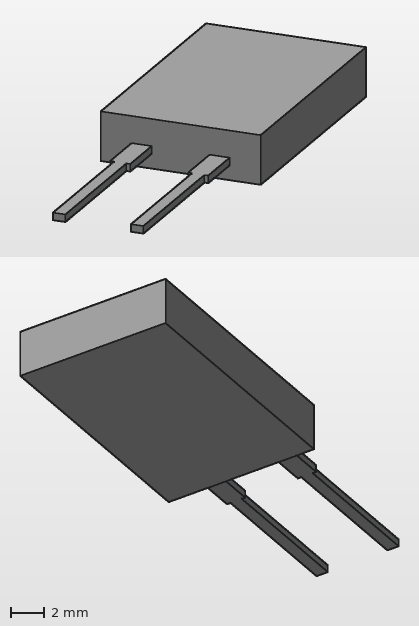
import cadquery as cq

total_length = 28.95
body_width = 10.4
body_length = 16.25
body_height = 3.2

lead_pitch = 5.07
lead_thickness = 0.5
lead_bottom = 0.95
shoulder_width = 1.3
shoulder_length = 3.3
leg_width = 0.8
lead_length = total_length - body_length


def make_body():
    """Plain block whose lead face lies on Y = 0 and whose underside lies on Z = 0."""
    return cq.Workplane("XY").box(body_width, body_length, body_height, centered=(True, False, False))


def make_lead(x_center):
    """Flat stepped lead that butts against the lead face of the body."""
    half_shoulder = shoulder_width / 2
    half_leg = leg_width / 2
    return (
        cq.Workplane("XY", origin=(x_center, 0, lead_bottom))
        .moveTo(-half_shoulder, 0)
        .lineTo(-half_shoulder, -shoulder_length)
        .lineTo(-half_leg, -shoulder_length)
        .lineTo(-half_leg, -lead_length)
        .lineTo(half_leg, -lead_length)
        .lineTo(half_leg, -shoulder_length)
        .lineTo(half_shoulder, -shoulder_length)
        .lineTo(half_shoulder, 0)
        .close()
        .extrude(lead_thickness)
    )


body = make_body()
leads = [make_lead(side * lead_pitch / 2) for side in (-1, 1)]

result = cq.Compound.makeCompound([body.val(), *[lead.val() for lead in leads]])